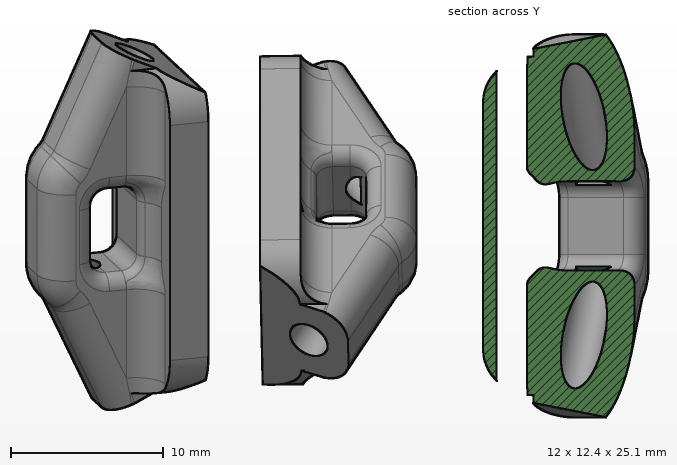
import cadquery as cq
import math

length = 25.1
depth = 10.17
turn = 25.0
leg_slope = 25.0
end_depth = 5.7

plate_width = 12.0
plate_thickness = 2.65
plate_height = 22.2
plate_corner = 3.01

handle_width = 6.03
handle_edge = 2.0
grip_height = 11.95
grip_round = 3.01
grip_blend = 1.0
plate_blend = 2.0

window_floor = 3.65
window_roof = 6.9
window_height = 5.83
window_corner = 1.05
window_edge = 1.0

hole_diameter = 2.7
hole_offset = 3.11

slope = math.tan(math.radians(leg_slope))
half_width = handle_width / 2
leg_peak = length / 2 + end_depth / slope
grip_shoulder = grip_height / 2 - grip_round / 2
leg_depth = (leg_peak - grip_shoulder) * slope
end_back = length / 2 - end_depth * slope
end_front = end_back + depth * slope
tolerance = 0.003


def side_prism(points, width):
    """Prism centred on X, from (height above the back, Z) points."""
    outline = [(-out, z) for out, z in points]
    return cq.Workplane("YZ").polyline(outline).close().extrude(width / 2, both=True)


def window_block():
    """Rounded block that fills the window and sticks out past both sides of the handle."""
    middle = (window_floor + window_roof) / 2
    return (
        cq.Workplane("XY")
        .box(2 * plate_width, window_roof - window_floor, window_height)
        .edges("|X")
        .fillet(window_corner)
        .translate((0, -middle, 0))
    )


def on_handle_side(edge):
    """True for an edge lying in either flat side of the handle."""
    return abs(abs(edge.Center().x) - half_width) < tolerance


def make_handle():
    """Two sloping legs and an upright grip, with rounded front edges and a window."""
    legs = side_prism(
        [(0, leg_peak), (leg_depth, grip_shoulder), (leg_depth, -grip_shoulder), (0, -leg_peak)],
        handle_width,
    )
    grip = (
        cq.Workplane("XY")
        .box(handle_width, depth, grip_height)
        .translate((0, -depth / 2, 0))
        .edges("|X and <Y")
        .fillet(grip_round)
    )
    handle = legs.union(grip)

    inner_corners = [
        edge for edge in handle.edges("|X").vals()
        if grip_shoulder < abs(edge.Center().z) < grip_height / 2
    ]
    handle = handle.newObject(inner_corners).fillet(grip_blend)

    front_edges = [
        edge for edge in handle.edges().vals()
        if on_handle_side(edge) and edge.Center().y < -tolerance
    ]
    handle = handle.newObject(front_edges).fillet(handle_edge)

    window = window_block()
    handle = handle.cut(window)
    inside = cq.selectors.BoxSelector(
        (-plate_width, -window_roof - tolerance, -window_height / 2 - tolerance),
        (plate_width, -window_floor + tolerance, window_height / 2 + tolerance),
    )
    rims = [edge for edge in handle.edges(inside).vals() if on_handle_side(edge)]
    return handle.newObject(rims).fillet(window_edge)


def join_to_plate(handle):
    """Set the handle on an overlong plate and blend its sides into the plate."""
    slab = cq.Workplane("XZ").rect(plate_width, 2 * leg_peak).extrude(plate_thickness)
    body = handle.union(slab)
    feet = [
        edge for edge in body.edges().vals()
        if abs(edge.Center().y + plate_thickness) < tolerance
        and edge.BoundingBox().ylen < tolerance
        and window_edge < abs(edge.Center().x) < half_width + tolerance
    ]
    return body.newObject(feet).fillet(plate_blend)


def trim_ends(body):
    """Round the plate corners and cut both ends square to the legs."""
    plate_outline = (
        cq.Workplane("XZ").rect(plate_width, plate_height).extrude(depth).edges("|Y").fillet(plate_corner)
    )
    handle_outline = cq.Workplane("XZ").rect(handle_width, 2 * leg_peak).extrude(depth)
    ends = side_prism(
        [(0, end_back), (depth, end_front), (depth, -end_front), (0, -end_back)], plate_width
    )
    return body.intersect(plate_outline.union(handle_outline)).intersect(ends)


def cord_hole(side):
    """Cylinder along the upper (1) or lower (-1) leg, ending level with the window's end on its axis."""
    start_z = end_back + hole_offset * slope
    end_z = window_height / 2
    hole_length = (start_z - end_z) / math.cos(math.radians(leg_slope))
    start = cq.Vector(0, -hole_offset, side * start_z)
    direction = cq.Vector(0, -slope, -side)
    return cq.Workplane(cq.Solid.makeCylinder(hole_diameter / 2, hole_length, start, direction))


part = trim_ends(join_to_plate(make_handle()))
for side in (1, -1):
    part = part.cut(cord_hole(side))
result = part.rotate((0, 0, 0), (0, 0, 1), -turn)